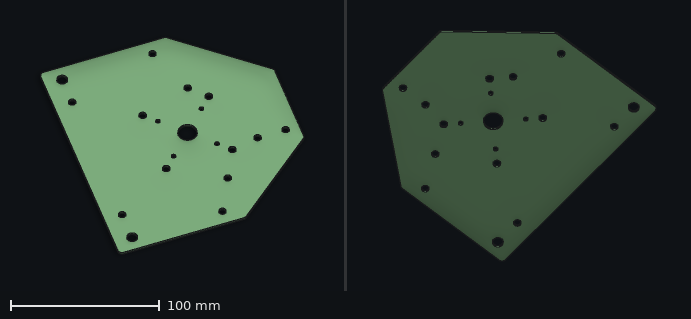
import cadquery as cq

width = 160.0
height = 150.0
thickness = 2.0
shoulder_height = 90.0
top_edge_width = 60.0
corner_radius = 3.0

shaft_diameter = 13.0
corner_diameter = 7.2
mount_diameter = 5.0
outer_motor_diameter = 5.1
inner_motor_diameter = 3.0

shaft_height = 77.3
edge_hole_x = 70.0
bottom_row_y = -64.5
bottom_mount_x = 50.0
outer_motor_pitch = 47.2
inner_motor_pitch = 31.0
middle_row_y = 12.6
middle_left_x = -35.0
middle_right_x = 45.0
upper_column_x = 20.0
upper_column_low_y = 42.9
upper_column_spacing = 20.0


def mirrored(x, y):
    """Two places mirrored about the plate's centre line."""
    return [(-x, y), (x, y)]


def square_pattern(pitch):
    """Four places at the corners of a square around the shaft axis."""
    half_pitch = pitch / 2
    return mirrored(half_pitch, half_pitch) + mirrored(half_pitch, -half_pitch)


def make_plate():
    """Flat plate with slanted upper sides and rounded corners, shaft axis at the origin."""
    bottom = -shaft_height
    shoulder = bottom + shoulder_height
    top = bottom + height
    outline = [
        (-width / 2, bottom),
        (width / 2, bottom),
        (width / 2, shoulder),
        (top_edge_width / 2, top),
        (-top_edge_width / 2, top),
        (-width / 2, shoulder),
    ]
    plate = cq.Workplane("XY").polyline(outline).close().extrude(thickness)
    return plate.edges("|Z").fillet(corner_radius)


def drill(plate, places, diameter):
    """Cut through holes of one diameter at the given places."""
    holes = cq.Workplane("XY").pushPoints(places).circle(diameter / 2).extrude(thickness)
    return plate.cut(holes)


mount_places = [
    *mirrored(bottom_mount_x, bottom_row_y),
    *mirrored(edge_hole_x, 0),
    (middle_left_x, middle_row_y),
    (middle_right_x, middle_row_y),
    (upper_column_x, upper_column_low_y),
    (upper_column_x, upper_column_low_y + upper_column_spacing),
]

result = make_plate()
result = drill(result, [(0, 0)], shaft_diameter)
result = drill(result, mirrored(edge_hole_x, bottom_row_y), corner_diameter)
result = drill(result, mount_places, mount_diameter)
result = drill(result, square_pattern(outer_motor_pitch), outer_motor_diameter)
result = drill(result, square_pattern(inner_motor_pitch), inner_motor_diameter)